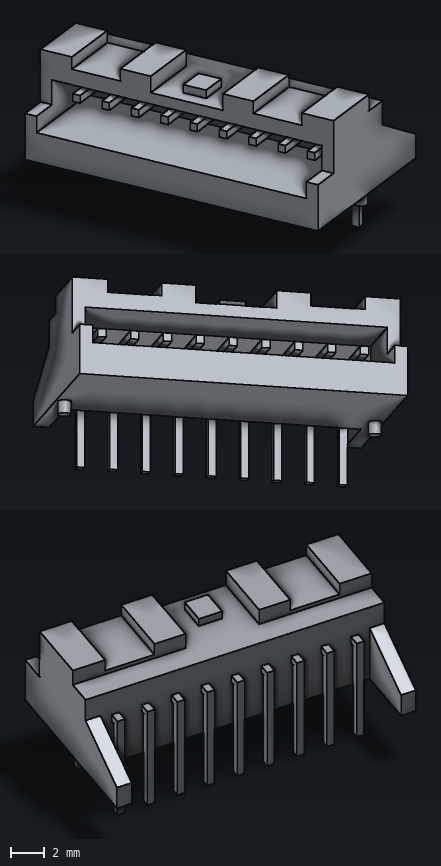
import cadquery as cq

width = 20.0
housing_depth = 7.7
overall_depth = 11.7
height = 6.48
sill_depth = 1.85
sill_height = 3.05
raised_back = 6.08
roof_height = 5.4

wing_thickness = 1.0
wing_front_height = 3.85
wing_back_height = 1.58

side_wall = 0.8
cavity_floor = 1.95
cavity_ceiling = 4.65
cavity_depth = raised_back

centre_notch_width = 4.92
side_notch_inner = 4.55
side_notch_outer = 7.85
side_notch_floor = 5.68
tab_width = 1.55
tab_front = 2.78
tab_back = 4.58
tab_top = 5.95

pin_count = 9
pin_pitch = 2.0
pin_size = 0.5
pin_tip = 2.65
pin_back = 8.45
pin_top = 3.65
tail_length = 3.42

peg_diameter = 0.8
peg_length = 0.8
peg_offset = 9.45
peg_position = raised_back


def block(x_range, y_range, z_range):
    """Box spanning the given (low, high) range along each axis."""
    lows, highs = zip(x_range, y_range, z_range)
    sizes = [high - low for low, high in zip(lows, highs)]
    return cq.Workplane("XY").box(*sizes, centered=False).translate(lows)


def centred(size, middle=0.0):
    """Range of the given size about a middle value."""
    return (middle - size / 2, middle + size / 2)


def make_shell():
    """Stepped side profile across the full width, cut back to leave two wings."""
    profile = [
        (0, 0),
        (overall_depth, 0),
        (overall_depth, wing_back_height),
        (housing_depth, wing_front_height),
        (housing_depth, roof_height),
        (raised_back, roof_height),
        (raised_back, height),
        (sill_depth, height),
        (sill_depth, sill_height),
        (0, sill_height),
    ]
    shell = cq.Workplane("YZ").polyline(profile).close().extrude(width / 2, both=True)
    wing_gap = block(centred(width - 2 * wing_thickness), (housing_depth, overall_depth), (0, height))
    cavity = block(centred(width - 2 * side_wall), (0, cavity_depth), (cavity_floor, cavity_ceiling))
    return shell.cut(wing_gap).cut(cavity)


def cut_roof_notches(body):
    """One deep centre notch and a shallower notch on each side of it."""
    raised_range = (sill_depth, raised_back)
    body = body.cut(block(centred(centre_notch_width), raised_range, (roof_height, height)))
    notch_width = side_notch_outer - side_notch_inner
    notch_middle = (side_notch_outer + side_notch_inner) / 2
    for side in (-1, 1):
        x_range = centred(notch_width, side * notch_middle)
        body = body.cut(block(x_range, raised_range, (side_notch_floor, height)))
    return body


def make_tab():
    """Locking tab standing on the floor of the centre notch."""
    return block(centred(tab_width), (tab_front, tab_back), (roof_height, tab_top))


def make_pin(x):
    """Right-angle pin: a contact through the back wall and a tail going down."""
    x_range = centred(pin_size, x)
    contact = block(x_range, (pin_tip, pin_back), (pin_top - pin_size, pin_top))
    tail = block(x_range, (pin_back - pin_size, pin_back), (-tail_length, pin_top))
    return contact.union(tail)


def make_pegs():
    """Locating pegs near the two ends of the underside."""
    centres = [(side * peg_offset, peg_position) for side in (-1, 1)]
    return cq.Workplane("XY").pushPoints(centres).circle(peg_diameter / 2).extrude(-peg_length)


result = cut_roof_notches(make_shell()).union(make_tab()).union(make_pegs())
for index in range(pin_count):
    result = result.union(make_pin((index - (pin_count - 1) / 2) * pin_pitch))